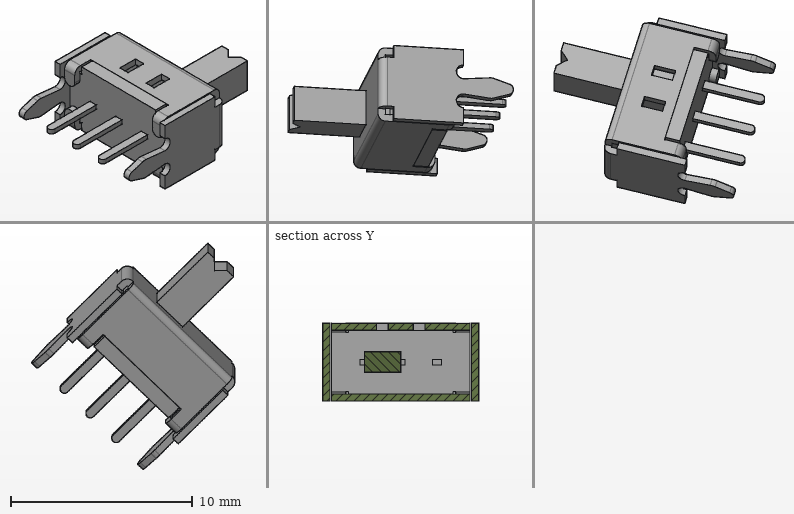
import cadquery as cq


frame_width = 8.6
frame_height = 4.3
sheet = 0.4
bend_radius = 0.4
outer_bend_radius = 0.45
side_gap = 0.075
side_depth = 4.7
strip_height = 2.88
corner_relief = 0.8
plate_width = frame_width - 2 * (sheet + side_gap)

base_front = 4.02
base_height = 3.29
notch_depth = 3.19
notch_width = 6.06
tongue_width = 5.77
tab_front = base_front + sheet
tab_width = (plate_width - notch_width) / 2
tab_offset = (plate_width + notch_width) / 4
tab_tip = 0.8

window_width = 0.63
window_length = 1.21
window_spacing = 2.04
window_center = 1.99

leg_tip = 7.5
relief_radius = 0.4
relief_offset = 0.85
neck_half = relief_offset - relief_radius
barb_half = 0.6
barb_start = 6.15
barb_middle = 6.3
barb_end = 6.44
barb_end_half = 0.56
point_start = 7.27
point_half = 0.3

knob_size = 2.0
knob_reach = 4.0
knob_offset = 1.0
groove_width = 1.0
groove_depth = groove_width / 2
carrier_width = 5.0
carrier_height = 3.0
carrier_depth = 0.69
stem_height = 1.15

pin_pitch = 2.0
pin_width = 0.5
pin_thickness = 0.3


def block(width, back, front, height, x=0.0):
    """Box centred on the middle plane, from depth `back` to depth `front` behind the back face."""
    return cq.Workplane("XY").box(width, front - back, height).translate((x, -(back + front) / 2, 0))


def make_channel():
    """Back, top and bottom plates with four tabs folded over the base."""
    channel = block(plate_width, 0, tab_front, frame_height)
    channel = channel.edges("|X and >Y").fillet(bend_radius)
    channel = channel.edges("|X and <Y").fillet(outer_bend_radius)
    channel = channel.cut(block(plate_width, sheet, base_front, frame_height - 2 * sheet))
    channel = channel.cut(block(notch_width, notch_depth, tab_front, frame_height))

    tip_radius = tab_width / 2
    tip_center = tab_tip + tip_radius
    opening = block(plate_width, base_front, tab_front, 2 * tip_center)
    tips = (
        cq.Workplane("XZ", origin=(0, -base_front, 0))
        .rect(2 * tab_offset, 2 * tip_center, forConstruction=True)
        .vertices()
        .circle(tip_radius)
        .extrude(sheet)
    )
    return channel.cut(opening.cut(tips))


def make_strip():
    """Middle of the back plate with its ends bent forward to meet the side plates."""
    strip = block(frame_width, 0, corner_relief, strip_height)
    strip = strip.edges("|Z and >Y").fillet(outer_bend_radius)
    return strip.cut(block(frame_width - 2 * sheet, sheet, corner_relief, strip_height))


def make_side_plate(inner_x):
    """Side plate with round reliefs beside a barbed mounting leg."""
    half = frame_height / 2
    relief_outer = relief_offset + relief_radius
    relief_deep = -side_depth + relief_radius
    return (
        cq.Workplane("YZ", origin=(inner_x, 0, 0))
        .moveTo(-corner_relief, -half)
        .lineTo(-corner_relief, half)
        .lineTo(-side_depth, half)
        .lineTo(-side_depth, relief_outer)
        .threePointArc((relief_deep, relief_offset), (-side_depth, neck_half))
        .lineTo(-barb_start, barb_half)
        .threePointArc((-barb_middle, barb_half), (-barb_end, barb_end_half))
        .lineTo(-point_start, point_half)
        .threePointArc((-leg_tip, 0), (-point_start, -point_half))
        .lineTo(-barb_end, -barb_end_half)
        .threePointArc((-barb_middle, -barb_half), (-barb_start, -barb_half))
        .lineTo(-side_depth, -neck_half)
        .threePointArc((relief_deep, -relief_offset), (-side_depth, -relief_outer))
        .lineTo(-side_depth, -half)
        .close()
        .extrude(sheet)
    )


def make_frame():
    frame = make_channel().union(make_strip())
    for inner_x in (-frame_width / 2, frame_width / 2 - sheet):
        frame = frame.union(make_side_plate(inner_x))

    windows = (
        cq.Workplane("XY", origin=(0, -window_center, frame_height / 2 - sheet))
        .pushPoints([(-window_spacing / 2, 0), (window_spacing / 2, 0)])
        .rect(window_width, window_length)
        .extrude(sheet)
    )
    knob_opening = block(knob_size, 0, sheet, knob_size, knob_offset)
    return frame.cut(windows).cut(knob_opening)


def make_pin(x):
    """Flat pin from the back of the base to a semicircular tip."""
    half_width = pin_width / 2
    tip_start = leg_tip - half_width
    return (
        cq.Workplane("XY", origin=(x, 0, -pin_thickness / 2))
        .moveTo(-half_width, -notch_depth)
        .lineTo(half_width, -notch_depth)
        .lineTo(half_width, -tip_start)
        .threePointArc((0, -leg_tip), (-half_width, -tip_start))
        .close()
        .extrude(pin_thickness)
    )


def make_insert(pins):
    """Base plate, stem, carrier and knob in one piece, with a hole for each pin."""
    base = block(plate_width, notch_depth, base_front, base_height)
    tongue = block(tongue_width, notch_depth, base_front, frame_height)
    carrier_front = sheet + carrier_depth
    carrier = block(carrier_width, sheet, carrier_front, carrier_height, knob_offset)
    stem = block(knob_size, carrier_front, notch_depth, stem_height, knob_offset)
    knob = block(knob_size, -knob_reach, sheet, knob_size, knob_offset)
    groove = (
        cq.Workplane("XY", origin=(knob_offset, knob_reach, -knob_size / 2))
        .moveTo(-groove_width / 2, 0)
        .lineTo(groove_width / 2, 0)
        .lineTo(0, -groove_depth)
        .close()
        .extrude(knob_size)
    )
    insert = base.union(tongue).union(stem).union(carrier).union(knob.cut(groove))
    for pin in pins:
        insert = insert.cut(pin)
    return insert


frame = make_frame()
pins = [make_pin(step * pin_pitch) for step in (-1, 0, 1)]
insert = make_insert(pins)

result = cq.Compound.makeCompound([frame.val(), insert.val(), *[pin.val() for pin in pins]])